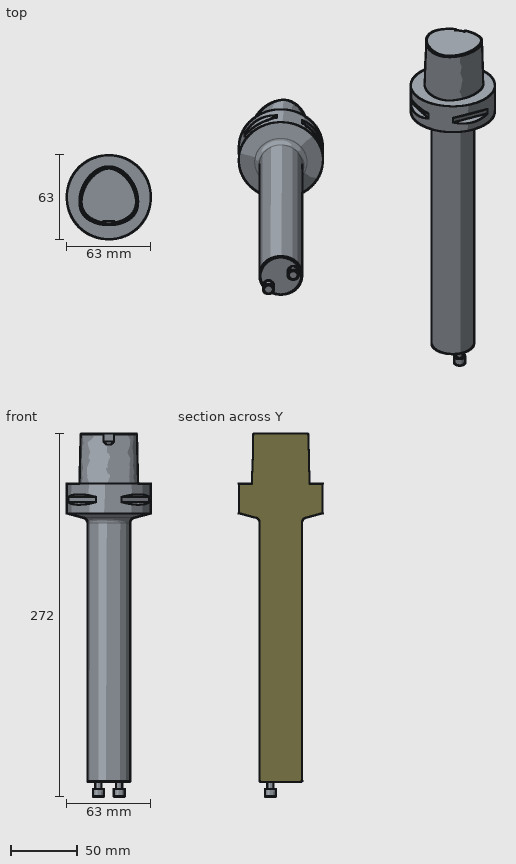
import cadquery as cq
import math


shank_height = 37.5
shank_mean_radius = 22.0
lobe_height = 1.0
shank_taper = 1 / 40
shank_chamfer = 0.8
outline_points = 72

notch_width = 7.5
notch_depth = 6.3
notch_tip_depth = 8.5
notch_tip_width = 3.3
notch_floor = 17.7
notch_tip_radius = 20.5

flange_radius = 63.0 / 2
flange_height = 22.3
groove_count = 4
first_groove_angle = 45
groove_center_z = -12.0
groove_floor = 28.0
groove_floor_height = 3.8
groove_mouth_height = 8.0

bar_radius = 32.0 / 2
bar_end_z = -223.3
bar_chamfer = 0.8
cone_end_radius = 19.5
cone_end_z = -25.5
flare_mid_offset = 1.0
flare_mid_z = -26.7
flare_end_z = -29.5

screw_end_z = -234.5
screw_spacing = 15.5
screw_shank_diameter = 5.0
screw_head_diameter = 8.5
screw_head_height = 6.3
screw_chamfer = 0.8
screw_embed = 1.4


def shank_outline(mean_radius):
    """Closed curve of constant width 2 * mean_radius with three lobes."""
    points = []
    for i in range(outline_points):
        angle = 2 * math.pi * i / outline_points
        along = mean_radius * math.cos(angle) + lobe_height * (2 * math.cos(2 * angle) - math.cos(4 * angle))
        across = mean_radius * math.sin(angle) - lobe_height * (2 * math.sin(2 * angle) + math.sin(4 * angle))
        points.append((-across, along))
    return points


def shank_section(base_z, top_z, base_radius, top_radius):
    """Slice of the shank between two outlines."""
    return (
        cq.Workplane("XY", origin=(0, 0, base_z))
        .spline(shank_outline(base_radius), periodic=True).close()
        .workplane(offset=top_z - base_z)
        .spline(shank_outline(top_radius), periodic=True).close()
        .loft(ruled=True)
    )


def make_shank():
    """Tapered shank with a chamfered top edge."""
    chamfer_z = shank_height - shank_chamfer
    chamfer_radius = shank_mean_radius - shank_taper * chamfer_z
    taper = shank_section(0, chamfer_z, shank_mean_radius, chamfer_radius)
    crown = shank_section(chamfer_z, shank_height, chamfer_radius, chamfer_radius - shank_chamfer)
    return taper.union(crown)


def make_notch():
    """Slot open at the shank top, with a lower end that narrows and slopes outward."""
    side_end_z = shank_height - notch_depth
    tip_z = shank_height - notch_tip_depth
    half_width = notch_width / 2
    half_tip = notch_tip_width / 2
    front = (
        cq.Workplane("XZ", origin=(0, -notch_floor, 0))
        .moveTo(-half_width, shank_height)
        .lineTo(-half_width, side_end_z)
        .lineTo(-half_tip, tip_z)
        .lineTo(half_tip, tip_z)
        .lineTo(half_width, side_end_z)
        .lineTo(half_width, shank_height)
        .close()
        .extrude(flange_radius - notch_floor)
    )
    side = (
        cq.Workplane("YZ")
        .moveTo(-notch_floor, shank_height)
        .lineTo(-notch_floor, side_end_z)
        .lineTo(-notch_tip_radius, tip_z)
        .lineTo(-flange_radius, tip_z)
        .lineTo(-flange_radius, shank_height)
        .close()
        .extrude(half_width, both=True)
    )
    return front.intersect(side)


def make_body():
    """Flange, cone, flare and bar turned about Z."""
    flare_mid = (bar_radius + flare_mid_offset, flare_mid_z)
    return (
        cq.Workplane("XZ")
        .moveTo(0, 0)
        .lineTo(flange_radius, 0)
        .lineTo(flange_radius, -flange_height)
        .lineTo(cone_end_radius, cone_end_z)
        .threePointArc(flare_mid, (bar_radius, flare_end_z))
        .lineTo(bar_radius, bar_end_z + bar_chamfer)
        .lineTo(bar_radius - bar_chamfer, bar_end_z)
        .lineTo(0, bar_end_z)
        .close()
        .revolve(360, (0, 0, 0), (0, 1, 0))
    )


def make_groove(angle):
    """Straight groove with sloping sides across the flange rim."""
    half_floor = groove_floor_height / 2
    half_mouth = groove_mouth_height / 2
    return (
        cq.Workplane("XZ")
        .moveTo(groove_floor, groove_center_z - half_floor)
        .lineTo(flange_radius, groove_center_z - half_mouth)
        .lineTo(flange_radius, groove_center_z + half_mouth)
        .lineTo(groove_floor, groove_center_z + half_floor)
        .close()
        .extrude(flange_radius, both=True)
        .rotate((0, 0, 0), (0, 0, 1), angle)
    )


def make_screw(x, y):
    """Screw with its head hanging below the bar."""
    shank_length = bar_end_z + screw_embed - screw_end_z
    head = (
        cq.Workplane("XY", origin=(x, y, screw_end_z))
        .circle(screw_head_diameter / 2)
        .extrude(screw_head_height)
        .faces("<Z").chamfer(screw_chamfer)
    )
    shank = (
        cq.Workplane("XY", origin=(x, y, screw_end_z))
        .circle(screw_shank_diameter / 2)
        .extrude(shank_length)
    )
    return head.union(shank)


result = make_body().union(make_shank()).cut(make_notch())
for i in range(groove_count):
    result = result.cut(make_groove(first_groove_angle + i * 360 / groove_count))
for side in (-1, 1):
    result = result.union(make_screw(side * screw_spacing / 2, -side * screw_spacing / 2))